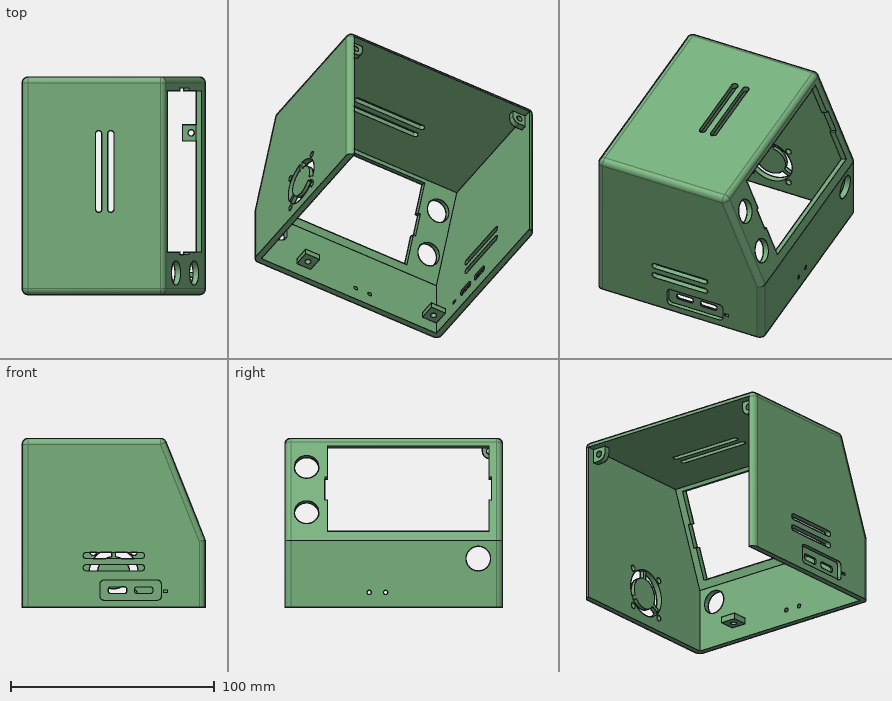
import cadquery as cq
import math

depth = 90.0
width = 107.0
height = 83.0
wall = 3.0
roof_depth = 70.0
front_height = 33.0
cutter_depth = 2 * wall

inner_side = width / 2 - wall
inner_roof = height - wall
inner_front = depth - wall
slope = math.atan2(depth - roof_depth, height - front_height)

panel_centre_v = 27.4
window_centre_y = 7.1
window_width = 79.2
window_height = 45.0
notch_depth = 1.3
notch_height = 12.0
knob_hole_diameter = 12.0
knob_centre_y = -42.8
knob_centre_v = 26.9
knob_spacing = 24.0

button_diameter = 12.0
button_y = 41.5
button_z = 24.0
led_diameter = 2.0
led_centre_y = -8.0
led_spacing = 8.0
led_z = 7.4

vent_width = 3.0
vent_pitch = 6.0
roof_vent_length = 40.0
roof_vent_x = 40.5
side_vent_length = 30.2
side_vent_x = 45.0
side_vent_z = 22.5

recess_length = 30.2
recess_height = 10.0
recess_radius = 2.0
recess_depth = 2.0
recess_x = 53.3
recess_z = 8.5
port_length = 9.0
port_height = 3.2
port_radius = 1.2
port_spacing = 12.8
pinhole_x = 70.4
pinhole_z = 7.9
pinhole_length = 2.0
pinhole_height = 1.3

fan_x = 44.9
fan_z = 17.0
fan_diameter = 24.0
fan_hub_diameter = 15.9
fan_spoke_count = 3
fan_spoke_width = 2.0
fan_hub_recess = 1.0
fan_screw_spacing = 20.0
fan_screw_diameter = 3.0

roof_lug_size = 7.1
roof_lug_radius = 3.7
roof_lug_hole = 3.1
roof_lug_x = 4.0
lug_thickness = 3.0
base_lug_width = 8.0
base_lug_length = 8.3
base_lug_z = 7.0
base_lug_hole = 3.0
base_lug_hole_from_front = 4.0
base_lug_centres_y = (26.0, -inner_side + base_lug_width / 2)


def side_profile(inset):
    """Side outline moved inward by inset, but still reaching the open back and bottom."""
    front_corner = front_height - inset * math.tan(slope / 2)
    roof_corner = roof_depth - inset * math.tan((math.pi / 2 - slope) / 2)
    return cq.Workplane("XZ").polyline([
        (0, 0),
        (depth - inset, 0),
        (depth - inset, front_corner),
        (roof_corner, height - inset),
        (0, height - inset),
    ]).close()


def shell():
    outer = side_profile(0).extrude(width / 2, both=True)
    front_crease = cq.selectors.BoxSelector(
        (depth - wall, -wall, front_height - wall),
        (depth + wall, wall, front_height + wall),
    )
    bottom_edges = cq.selectors.BoxSelector((-wall, -width, -wall), (depth + wall, width, wall))
    every_edge = cq.selectors.BoxSelector((-wall, -width, -wall), (depth + wall, width, height + wall))
    outer = outer.edges(every_edge - front_crease - bottom_edges).fillet(wall)
    cavity = side_profile(wall).extrude(inner_side, both=True)
    return outer.cut(cavity)


def sloped_panel_cuts():
    panel = cq.Workplane(cq.Plane(
        origin=(depth, 0, front_height),
        xDir=(0, 1, 0),
        normal=(math.cos(slope), 0, math.sin(slope)),
    ))
    window = panel.center(window_centre_y, panel_centre_v)
    opening = window.rect(window_width, window_height).extrude(cutter_depth, both=True)
    notches = window.rect(window_width + 2 * notch_depth, notch_height).extrude(cutter_depth, both=True)
    knobs = (
        panel.center(knob_centre_y, knob_centre_v)
        .rarray(1.1, knob_spacing, 1, 2)
        .circle(knob_hole_diameter / 2)
        .extrude(cutter_depth, both=True)
    )
    return opening.union(notches).union(knobs)


def front_cuts():
    front = cq.Workplane("YZ", origin=(inner_front - wall / 2, 0, 0))
    button = front.center(button_y, button_z).circle(button_diameter / 2).extrude(cutter_depth)
    leds = (
        front.center(led_centre_y, led_z)
        .rarray(led_spacing, 1.1, 2, 1)
        .circle(led_diameter / 2)
        .extrude(cutter_depth)
    )
    return button.union(leds)


def roof_vents():
    return (
        cq.Workplane("XY", origin=(roof_vent_x, window_centre_y, inner_roof - wall / 2))
        .rarray(vent_pitch, 1.1, 2, 1)
        .slot2D(roof_vent_length, vent_width, 90)
        .extrude(cutter_depth)
    )


def connector_side_cuts():
    side = cq.Workplane("XZ", origin=(0, -inner_side + wall / 2, 0))
    vents = (
        side.center(side_vent_x, side_vent_z)
        .rarray(1.1, vent_pitch, 1, 2)
        .slot2D(side_vent_length, vent_width)
        .extrude(cutter_depth)
    )
    recess = (
        cq.Workplane("XZ", origin=(recess_x, -width / 2 + recess_depth, recess_z))
        .rect(recess_length, recess_height)
        .extrude(cutter_depth)
        .edges("|Y")
        .fillet(recess_radius)
    )
    ports = (
        side.center(recess_x, recess_z)
        .rarray(port_spacing, 1.1, 2, 1)
        .rect(port_length, port_height)
        .extrude(cutter_depth)
        .edges("|Y")
        .fillet(port_radius)
    )
    pinhole = (
        side.center(pinhole_x, pinhole_z)
        .rect(pinhole_length, pinhole_height)
        .extrude(cutter_depth)
    )
    return vents.union(recess).union(ports).union(pinhole)


def fan_cuts():
    grille = cq.Workplane("XZ", origin=(fan_x, width / 2 + wall / 2, fan_z))
    ring = grille.circle(fan_diameter / 2).circle(fan_hub_diameter / 2).extrude(cutter_depth)
    spoke = (
        grille.center(0, fan_diameter / 2)
        .rect(fan_spoke_width, fan_diameter)
        .extrude(cutter_depth)
    )
    axis_start = (fan_x, 0, fan_z)
    axis_end = (fan_x, 1, fan_z)
    for i in range(fan_spoke_count):
        ring = ring.cut(spoke.rotate(axis_start, axis_end, i * 360 / fan_spoke_count))
    screws = (
        grille.rarray(fan_screw_spacing, fan_screw_spacing, 2, 2)
        .circle(fan_screw_diameter / 2)
        .extrude(cutter_depth)
    )
    recess = (
        cq.Workplane("XZ", origin=(fan_x, inner_side + fan_hub_recess, fan_z))
        .circle(fan_diameter / 2)
        .extrude(cutter_depth)
    )
    return ring.union(screws).union(recess)


def roof_lug():
    """Screw lug in the upper +Y corner of the open back."""
    hole_offset = roof_lug_size - roof_lug_radius
    return (
        cq.Workplane("YZ", origin=(roof_lug_x, inner_side, inner_roof))
        .rect(-roof_lug_size, -roof_lug_size, centered=False)
        .extrude(lug_thickness)
        .edges("|X and <Y and <Z")
        .fillet(roof_lug_radius)
        .cut(
            cq.Workplane("YZ", origin=(roof_lug_x, inner_side - hole_offset, inner_roof - hole_offset))
            .circle(roof_lug_hole / 2)
            .extrude(lug_thickness)
        )
    )


def base_lug(centre_y):
    """Screw lug standing out from the inside of the vertical front."""
    return (
        cq.Workplane("XY", origin=(inner_front, centre_y, base_lug_z))
        .center(-base_lug_length / 2, 0)
        .rect(base_lug_length, base_lug_width)
        .extrude(lug_thickness)
        .cut(
            cq.Workplane("XY", origin=(inner_front - base_lug_hole_from_front, centre_y, base_lug_z))
            .circle(base_lug_hole / 2)
            .extrude(lug_thickness)
        )
    )


result = (
    shell()
    .cut(sloped_panel_cuts())
    .cut(front_cuts())
    .cut(roof_vents())
    .cut(connector_side_cuts())
    .cut(fan_cuts())
    .union(roof_lug())
    .union(roof_lug().mirror("XZ"))
)
for lug_y in base_lug_centres_y:
    result = result.union(base_lug(lug_y))